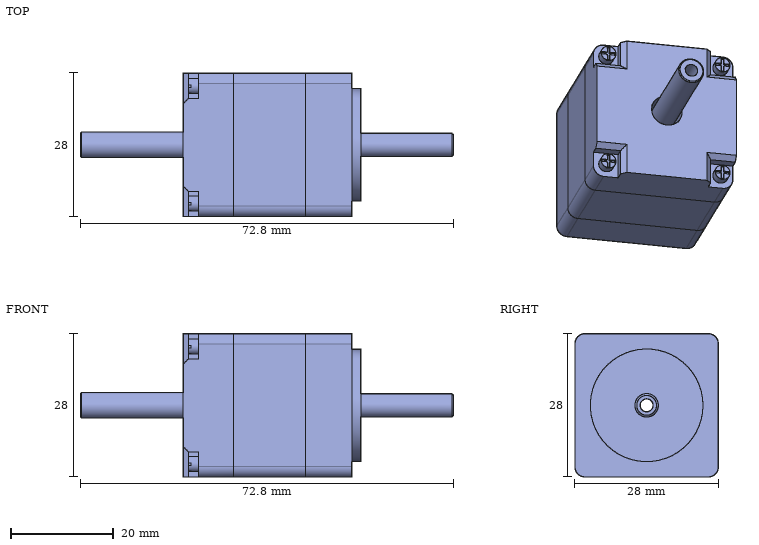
import cadquery as cq

SHAFT_LENGTH = 72.8
SHAFT_REAR_X = -SHAFT_LENGTH / 2
REAR_SHAFT_EXPOSED = 20.0
REAR_COVER_LENGTH = 9.8
STATOR_LENGTH = 14.05
FRONT_COVER_LENGTH = 9.0
BOSS_LENGTH = 1.75

COVER_REAR_X = SHAFT_REAR_X + REAR_SHAFT_EXPOSED
STATOR_REAR_X = COVER_REAR_X + REAR_COVER_LENGTH
STATOR_FRONT_X = STATOR_REAR_X + STATOR_LENGTH
COVER_FRONT_X = STATOR_FRONT_X + FRONT_COVER_LENGTH

HOUSING_WIDTH = 28.0
CORNER_RADIUS = 2.05
BOSS_DIAMETER = 22.0

REAR_SHAFT_DIAMETER = 5.0
FRONT_SHAFT_DIAMETER = 4.6
SHAFT_BORE_DIAMETER = 2.5
SHAFT_REAR_CHAMFER = 0.2
SHAFT_FRONT_CHAMFER = 0.4
REAR_CLEARANCE_DIAMETER = 6.1

POCKET_WIDTH = 4.95
POCKET_DEPTH = 3.0
POCKET_BEVEL = 1.0

SCREW_INSET = 2.55
SCREW_HEAD_DIAMETER = 3.0
SCREW_HEAD_HEIGHT = POCKET_DEPTH - POCKET_BEVEL
SCREW_SLOT_LENGTH = 2.6
SCREW_SLOT_WIDTH = 0.5
SCREW_SLOT_DEPTH = 0.5

CORNER_SIGNS = [(-1, -1), (-1, 1), (1, -1), (1, 1)]


def plane_at(x):
    """Plane square to the motor axis, facing +X, with local axes along Y and Z."""
    return cq.Workplane("YZ", origin=(x, 0, 0))


def cylinder(x, length, diameter):
    return plane_at(x).circle(diameter / 2).extrude(length)


def housing_block(x, length):
    block = plane_at(x).rect(HOUSING_WIDTH, HOUSING_WIDTH).extrude(length)
    return block.edges("|X").fillet(CORNER_RADIUS)


def corner_pocket(y_sign, z_sign):
    """Square pocket centred on a housing corner, flaring towards the rear face."""
    corner = (y_sign * HOUSING_WIDTH / 2, z_sign * HOUSING_WIDTH / 2)
    inner_width = 2 * POCKET_WIDTH
    outer_width = inner_width + 2 * POCKET_BEVEL
    recess = plane_at(COVER_REAR_X).center(*corner).rect(inner_width, inner_width).extrude(POCKET_DEPTH)
    flare = (
        plane_at(COVER_REAR_X)
        .center(*corner)
        .rect(outer_width, outer_width)
        .workplane(offset=POCKET_BEVEL)
        .rect(inner_width, inner_width)
        .loft(ruled=True)
    )
    return recess.union(flare)


def screw_head(y_sign, z_sign):
    """Cylindrical head with a cross slot, standing on the pocket floor."""
    y = y_sign * (HOUSING_WIDTH / 2 - SCREW_INSET)
    z = z_sign * (HOUSING_WIDTH / 2 - SCREW_INSET)
    head_x = COVER_REAR_X + POCKET_DEPTH - SCREW_HEAD_HEIGHT
    face = plane_at(head_x).center(y, z)
    head = face.circle(SCREW_HEAD_DIAMETER / 2).extrude(SCREW_HEAD_HEIGHT)
    slot_along_y = face.rect(SCREW_SLOT_LENGTH, SCREW_SLOT_WIDTH).extrude(SCREW_SLOT_DEPTH)
    slot_along_z = face.rect(SCREW_SLOT_WIDTH, SCREW_SLOT_LENGTH).extrude(SCREW_SLOT_DEPTH)
    return head.cut(slot_along_y.union(slot_along_z))


def make_rear_cover():
    cover = housing_block(COVER_REAR_X, REAR_COVER_LENGTH)
    for y_sign, z_sign in CORNER_SIGNS:
        cover = cover.cut(corner_pocket(y_sign, z_sign))
        cover = cover.union(screw_head(y_sign, z_sign))
    return cover.cut(cylinder(COVER_REAR_X, REAR_COVER_LENGTH, REAR_CLEARANCE_DIAMETER))


def make_stator():
    stator = housing_block(STATOR_REAR_X, STATOR_LENGTH)
    return stator.cut(cylinder(STATOR_REAR_X, STATOR_LENGTH, REAR_SHAFT_DIAMETER))


def make_front_cover():
    """Front housing section with its round centring boss."""
    total_length = FRONT_COVER_LENGTH + BOSS_LENGTH
    cover = housing_block(STATOR_FRONT_X, FRONT_COVER_LENGTH)
    cover = cover.union(cylinder(COVER_FRONT_X, BOSS_LENGTH, BOSS_DIAMETER))
    return cover.cut(cylinder(STATOR_FRONT_X, total_length, FRONT_SHAFT_DIAMETER))


def make_shaft():
    """Hollow shaft, thicker at the rear, stepping down where it enters the front cover."""
    rear_length = STATOR_FRONT_X - SHAFT_REAR_X
    front_length = SHAFT_LENGTH - rear_length
    rear = cylinder(SHAFT_REAR_X, rear_length, REAR_SHAFT_DIAMETER)
    rear = rear.faces("<X").chamfer(SHAFT_REAR_CHAMFER)
    front = cylinder(STATOR_FRONT_X, front_length, FRONT_SHAFT_DIAMETER)
    front = front.faces(">X").chamfer(SHAFT_FRONT_CHAMFER)
    bore = cylinder(SHAFT_REAR_X, SHAFT_LENGTH, SHAFT_BORE_DIAMETER)
    return rear.union(front).cut(bore)


rear_cover = make_rear_cover()
stator = make_stator()
front_cover = make_front_cover()
shaft = make_shaft()

result = cq.Compound.makeCompound(
    [rear_cover.val(), stator.val(), front_cover.val(), shaft.val()]
)